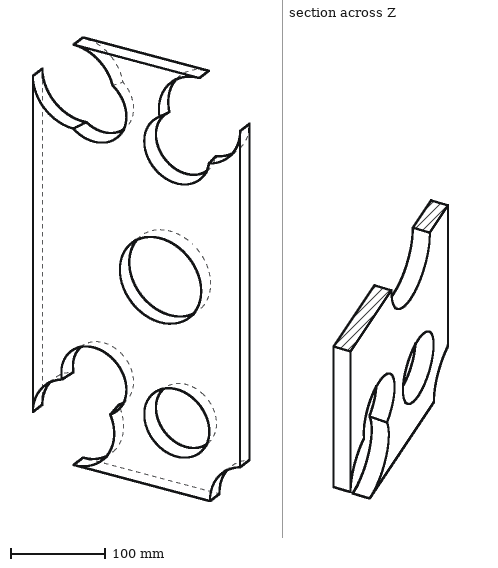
import cadquery as cq
import math

plate_width = 255.0
plate_height = 500.0
plate_thickness = 20.0
turn_angle = 40.0


cut_radius = 50.0
bore_center = (157.0, 247.0)
lower_right_scoop_center = (268.0, 1.5)
cleared_corners = [
    ((0, 0), (1, 1)),
    ((0, plate_height), (1, -1)),
    ((plate_width, plate_height), (-1, -1)),
]

taper_front_radius = 40.0
taper_angle = 8.0
taper_pair_spacing = 325.0
lower_taper_centers = [(75.0, 106.0), (177.0, 82.5)]

turn = math.radians(turn_angle)
width_direction = (math.cos(turn), math.sin(turn), 0)
front_normal = (math.sin(turn), -math.cos(turn), 0)
front_plane = cq.Plane(origin=(0, 0, 0), xDir=width_direction, normal=front_normal)


def points_inside_corners(inset):
    """Points lying the given distance in from both edges at each cleared corner."""
    return [(x + inset * toward_x, y + inset * toward_y) for (x, y), (toward_x, toward_y) in cleared_corners]


def make_plate():
    """Plain rectangular plate lying behind the front plane."""
    blank = cq.Workplane(front_plane).rect(plate_width, plate_height, centered=False)
    return blank.extrude(-plate_thickness)


def make_round_cuts():
    """Cylinders for the central bore and the corner scoops."""
    centers = [bore_center, lower_right_scoop_center] + points_inside_corners(cut_radius)
    return cq.Workplane(front_plane).pushPoints(centers).circle(cut_radius).extrude(-plate_thickness)


def make_corner_cuts():
    """Square blocks that clear the corners left outside the tangent scoops."""
    block_centers = points_inside_corners(cut_radius / 2)
    blocks = cq.Workplane(front_plane).pushPoints(block_centers).rect(cut_radius, cut_radius)
    return blocks.extrude(-plate_thickness)


def make_tapered_holes():
    """Cone frustums that narrow from the front face to the back face."""
    upper_centers = [(along, height + taper_pair_spacing) for along, height in lower_taper_centers]
    openings = cq.Workplane(front_plane).pushPoints(lower_taper_centers + upper_centers)
    return openings.circle(taper_front_radius).extrude(-plate_thickness, taper=taper_angle)


result = make_plate()
result = result.cut(make_round_cuts())
result = result.cut(make_corner_cuts())
result = result.cut(make_tapered_holes())